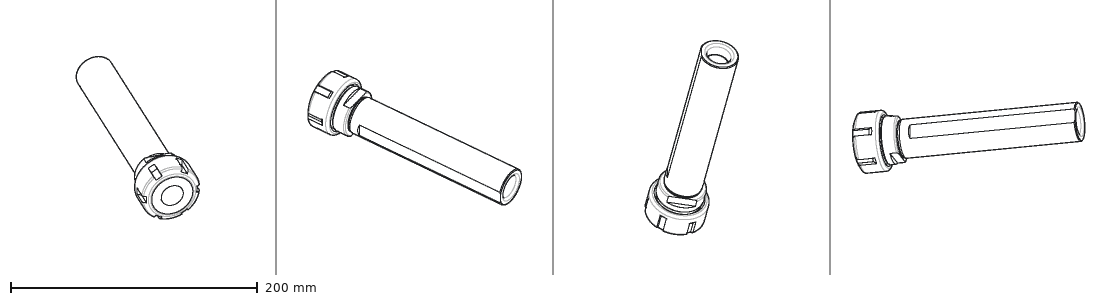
import cadquery as cq
import math

total_length = 186.3

shank_radius = 16.0
shank_end_chamfer = 0.7
shank_flat_offset = 14.9
shank_flat_runout_end = 140.0
neck_radius = 15.5
neck_taper_start = 147.7
neck_start = 149.2
collar_start = 150.1
collar_radius = 20.0
collar_fillet = 1.1
collar_end = 161.7
shoulder_start = 162.6
shoulder_radius = 19.2
thread_start = 165.2
thread_radius = 17.7

wrench_flat_offset = shank_radius
wrench_flat_length = 6.7

bore_radius = 9.5
mouth_radius = 10.0
mouth_fillet = 2.0
mouth_depth = 10.6

nut_start = 163.2
nut_radius = 25.0
nut_rear_fillet = 2.2
nut_front_radius = 19.5
nut_rim_fillet = 1.9
nut_nose_fillet = 3.7
nut_mouth_radius = 21.0
nut_cone_angle = math.radians(60)

slot_count = 6
slot_width = 6.0
slot_floor_radius = 21.8
rim_clearance = 1.9
slot_top_radius = nut_radius + rim_clearance
slot_start = 170.5
long_slot_start = 168.4


def make_holder_blank():
    return (
        cq.Workplane("XY")
        .moveTo(0, 0)
        .lineTo(0, shank_radius - shank_end_chamfer)
        .lineTo(shank_end_chamfer, shank_radius)
        .lineTo(neck_taper_start, shank_radius)
        .lineTo(neck_start, neck_radius)
        .lineTo(collar_start, neck_radius)
        .lineTo(collar_start, collar_radius - collar_fillet)
        .radiusArc((collar_start + collar_fillet, collar_radius), collar_fillet)
        .lineTo(collar_end, collar_radius)
        .lineTo(shoulder_start, shoulder_radius)
        .lineTo(thread_start, shoulder_radius)
        .lineTo(thread_start, thread_radius)
        .lineTo(total_length, thread_radius)
        .lineTo(total_length, 0)
        .close()
        .revolve(360, (0, 0, 0), (1, 0, 0))
    )


def make_bore():
    return (
        cq.Workplane("XY")
        .moveTo(0, 0)
        .lineTo(0, mouth_radius + mouth_fillet)
        .radiusArc((mouth_fillet, mouth_radius), -mouth_fillet)
        .lineTo(mouth_depth, mouth_radius)
        .lineTo(mouth_depth, bore_radius)
        .lineTo(total_length, bore_radius)
        .lineTo(total_length, 0)
        .close()
        .revolve(360, (0, 0, 0), (1, 0, 0))
    )


def make_shank_flat_cutter():
    rise = shank_radius - shank_flat_offset
    return (
        cq.Workplane("XY")
        .moveTo(0, shank_flat_offset)
        .lineTo(shank_flat_runout_end - rise, shank_flat_offset)
        .lineTo(shank_flat_runout_end, shank_radius)
        .lineTo(0, shank_radius)
        .close()
        .extrude(shank_radius, both=True)
    )


def make_wrench_flat_cutter(side):
    height = collar_radius - wrench_flat_offset
    return (
        cq.Workplane("XY")
        .box(wrench_flat_length, 2 * collar_radius, height, centered=(False, True, True))
        .translate((collar_start, 0, side * (wrench_flat_offset + height / 2)))
    )


def make_holder():
    holder = make_holder_blank().cut(make_bore()).cut(make_shank_flat_cutter())
    for side in (1, -1):
        holder = holder.cut(make_wrench_flat_cutter(side))
    return holder


def make_nut_blank():
    cone_length = (nut_radius - nut_front_radius) / math.tan(nut_cone_angle)
    rim_end = total_length - cone_length

    rim_fillet_start = rim_end - nut_rim_fillet * math.tan(nut_cone_angle / 2)
    rim_fillet_center_radius = nut_radius - nut_rim_fillet
    nose_turn = math.pi / 2 - nut_cone_angle
    nose_fillet_center_x = total_length - nut_nose_fillet
    nose_fillet_center_radius = nut_front_radius - nut_nose_fillet * math.tan(nose_turn / 2)

    def rim_fillet_point(angle):
        return (
            rim_fillet_start + nut_rim_fillet * math.sin(angle),
            rim_fillet_center_radius + nut_rim_fillet * math.cos(angle),
        )

    def nose_fillet_point(angle):
        return (
            nose_fillet_center_x + nut_nose_fillet * math.cos(angle),
            nose_fillet_center_radius + nut_nose_fillet * math.sin(angle),
        )

    return (
        cq.Workplane("XY")
        .moveTo(thread_start, thread_radius)
        .lineTo(thread_start, shoulder_radius)
        .lineTo(nut_start, nut_mouth_radius)
        .lineTo(nut_start, nut_radius - nut_rear_fillet)
        .radiusArc((nut_start + nut_rear_fillet, nut_radius), nut_rear_fillet)
        .lineTo(rim_fillet_start, nut_radius)
        .threePointArc(rim_fillet_point(nut_cone_angle / 2), rim_fillet_point(nut_cone_angle))
        .lineTo(*nose_fillet_point(nose_turn))
        .threePointArc(nose_fillet_point(nose_turn / 2), nose_fillet_point(0))
        .lineTo(total_length, thread_radius)
        .close()
        .revolve(360, (0, 0, 0), (1, 0, 0))
    )


def make_slot_cutter(angle, start):
    floor_start = start + nut_radius - slot_floor_radius
    top_start = start + nut_radius - slot_top_radius
    return (
        cq.Workplane("XZ")
        .moveTo(floor_start, slot_floor_radius)
        .lineTo(total_length, slot_floor_radius)
        .lineTo(total_length, slot_top_radius)
        .lineTo(top_start, slot_top_radius)
        .close()
        .extrude(slot_width / 2, both=True)
        .rotate((0, 0, 0), (1, 0, 0), angle)
    )


def make_nut():
    nut = make_nut_blank()
    for i in range(slot_count):
        angle = 90 + i * 360 / slot_count
        on_minus_y_side = math.sin(math.radians(angle)) > 0
        start = slot_start if on_minus_y_side else long_slot_start
        nut = nut.cut(make_slot_cutter(angle, start))
    return nut


holder = make_holder()
nut = make_nut()
result = cq.Compound.makeCompound([holder.val(), nut.val()])